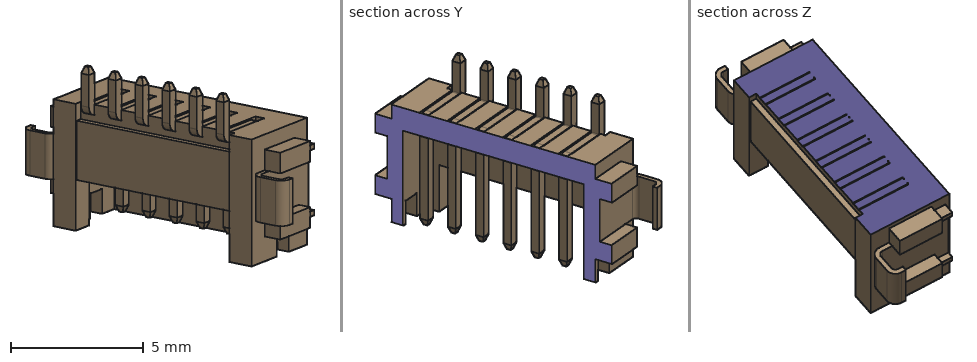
import cadquery as cq
import math


BODY_LENGTH = 9.2
BODY_DEPTH = 3.6
BODY_HEIGHT = 4.99
HALF_BODY = BODY_LENGTH / 2

POST_WIDTH = 1.03
FRONT_WIDTH = BODY_LENGTH - 2 * POST_WIDTH
FRONT_SETBACK = 0.07
LEDGE_SETBACK = 0.33
LEDGE_Z = 4.31
WINDOW_HEIGHT = 1.98

FRONT_WALL_Y = 0.87
BACK_WALL = 0.41
END_WALL = 0.53
CAVITY_DEPTH = 4.01

LUG_REACH = 0.73
LUG_FRONT_Y = 0.84
LUG_BACK_Y = 2.77
LUG_HEIGHT = 0.81
LUG_GAP = 1.79
LUG_BOTTOM_Z = 0.98
LUG_CENTRE_Z = LUG_BOTTOM_Z + LUG_HEIGHT + LUG_GAP / 2

NOTCH_FRONT_Y = 1.64
NOTCH_BACK_Y = 2.4

PIN_COUNT = 6
PIN_PITCH = 1.25
PIN_SIZE = 0.36
PIN_TIP_SIZE = 0.17
PIN_TIP_LENGTH = 0.27
PIN_TOP_Z = 6.5
PIN_BOTTOM_Z = 0.25
PIN_INNER_RADIUS = 0.02
PIN_OUTER_RADIUS = PIN_INNER_RADIUS + PIN_SIZE
PIN_BACK_Y = NOTCH_BACK_Y + PIN_SIZE / 2

SLOT_WIDTH = 0.4
SLOT_DEPTH = 0.41
SLOT_FLOOR_Z = BODY_HEIGHT - SLOT_DEPTH

OVERALL_LENGTH = 12.15
TAB_THICKNESS = 0.21
TAB_INNER_RADIUS = 0.18
TAB_OUTER_RADIUS = TAB_INNER_RADIUS + TAB_THICKNESS
TAB_HOOK_HEIGHT = 0.61
TAB_BACK_Y = 3.4
TAB_HEAD_HEIGHT = 2.82
TAB_FLANGE_REACH = 0.47


def block(x_range, y_range, z_range):
    """Box spanning the given (low, high) ranges."""
    (x0, x1), (y0, y1), (z0, z1) = x_range, y_range, z_range
    return cq.Workplane("XY").box(x1 - x0, y1 - y0, z1 - z0, centered=False).translate((x0, y0, z0))


def centred_block(width, y_range, z_range):
    """Box centred on the YZ plane."""
    return block((-width / 2, width / 2), y_range, z_range)


def make_housing():
    body = centred_block(BODY_LENGTH, (0, BODY_DEPTH), (0, BODY_HEIGHT))
    cavity = centred_block(
        BODY_LENGTH - 2 * END_WALL, (FRONT_WALL_Y, BODY_DEPTH - BACK_WALL), (0, CAVITY_DEPTH)
    )
    window = centred_block(FRONT_WIDTH, (0, FRONT_WALL_Y), (0, WINDOW_HEIGHT))
    setback = centred_block(FRONT_WIDTH, (0, FRONT_SETBACK), (0, BODY_HEIGHT))
    ledge = centred_block(FRONT_WIDTH, (0, LEDGE_SETBACK), (LEDGE_Z, BODY_HEIGHT))
    notches = centred_block(BODY_LENGTH, (NOTCH_FRONT_Y, NOTCH_BACK_Y), (0, LUG_BOTTOM_Z))
    return body.cut(cavity).cut(window).cut(setback).cut(ledge).cut(notches)


def make_slot():
    return centred_block(SLOT_WIDTH, (0, PIN_BACK_Y), (SLOT_FLOOR_Z, BODY_HEIGHT))


def make_pin():
    """Pin centred on X = 0: up at the front, back along the slot, down into the cavity."""
    wire_top_z = SLOT_FLOOR_Z + PIN_SIZE
    leg_front_y = PIN_BACK_Y - PIN_SIZE
    top_shoulder_z = PIN_TOP_Z - PIN_TIP_LENGTH
    bottom_shoulder_z = PIN_BOTTOM_Z + PIN_TIP_LENGTH

    wire = (
        cq.Workplane("YZ")
        .moveTo(0, top_shoulder_z)
        .lineTo(0, SLOT_FLOOR_Z + PIN_OUTER_RADIUS)
        .tangentArcPoint((PIN_OUTER_RADIUS, SLOT_FLOOR_Z), relative=False)
        .lineTo(leg_front_y - PIN_INNER_RADIUS, SLOT_FLOOR_Z)
        .tangentArcPoint((leg_front_y, SLOT_FLOOR_Z - PIN_INNER_RADIUS), relative=False)
        .lineTo(leg_front_y, bottom_shoulder_z)
        .lineTo(PIN_BACK_Y, bottom_shoulder_z)
        .lineTo(PIN_BACK_Y, wire_top_z - PIN_OUTER_RADIUS)
        .tangentArcPoint((PIN_BACK_Y - PIN_OUTER_RADIUS, wire_top_z), relative=False)
        .lineTo(PIN_SIZE + PIN_INNER_RADIUS, wire_top_z)
        .tangentArcPoint((PIN_SIZE, wire_top_z + PIN_INNER_RADIUS), relative=False)
        .lineTo(PIN_SIZE, top_shoulder_z)
        .close()
        .extrude(PIN_SIZE / 2, both=True)
    )

    taper = math.degrees(math.atan((PIN_SIZE - PIN_TIP_SIZE) / 2 / PIN_TIP_LENGTH))
    tip = cq.Workplane("XY").rect(PIN_SIZE, PIN_SIZE).extrude(PIN_TIP_LENGTH, taper=taper)
    top_tip = tip.translate((0, PIN_SIZE / 2, top_shoulder_z))
    bottom_tip = tip.mirror("XY").translate((0, PIN_BACK_Y - PIN_SIZE / 2, bottom_shoulder_z))
    return wire.union(top_tip).union(bottom_tip)


def make_lugs():
    """Pair of lugs on the +X end."""
    x_range = (HALF_BODY, HALF_BODY + LUG_REACH)
    y_range = (LUG_FRONT_Y, LUG_BACK_Y)
    upper_z = LUG_BOTTOM_Z + LUG_HEIGHT + LUG_GAP
    lower = block(x_range, y_range, (LUG_BOTTOM_Z, LUG_BOTTOM_Z + LUG_HEIGHT))
    upper = block(x_range, y_range, (upper_z, upper_z + LUG_HEIGHT))
    return lower.union(upper)


def make_solder_tab():
    """Tab on the +X end: hooked strip between the lugs, with a flanged head behind them."""
    outer_x = OVERALL_LENGTH / 2
    hook_x = outer_x - TAB_THICKNESS
    plate_x = HALF_BODY + TAB_THICKNESS

    strip = (
        cq.Workplane("XY", origin=(0, 0, LUG_CENTRE_Z))
        .moveTo(HALF_BODY, TAB_BACK_Y)
        .lineTo(HALF_BODY, TAB_OUTER_RADIUS)
        .tangentArcPoint((HALF_BODY + TAB_OUTER_RADIUS, 0), relative=False)
        .lineTo(outer_x - TAB_OUTER_RADIUS, 0)
        .tangentArcPoint((outer_x, TAB_OUTER_RADIUS), relative=False)
        .lineTo(outer_x, TAB_HOOK_HEIGHT)
        .lineTo(hook_x, TAB_HOOK_HEIGHT)
        .lineTo(hook_x, TAB_OUTER_RADIUS)
        .tangentArcPoint((hook_x - TAB_INNER_RADIUS, TAB_THICKNESS), relative=False)
        .lineTo(plate_x + TAB_INNER_RADIUS, TAB_THICKNESS)
        .tangentArcPoint((plate_x, TAB_OUTER_RADIUS), relative=False)
        .lineTo(plate_x, TAB_BACK_Y)
        .close()
        .extrude(LUG_GAP / 2, both=True)
    )

    head_y = (LUG_BACK_Y, TAB_BACK_Y)
    head_low_z = LUG_CENTRE_Z - TAB_HEAD_HEIGHT / 2
    head_high_z = LUG_CENTRE_Z + TAB_HEAD_HEIGHT / 2
    flange_x = (HALF_BODY, HALF_BODY + TAB_FLANGE_REACH)
    head = block((HALF_BODY, plate_x), head_y, (head_low_z, head_high_z))
    low_flange = block(flange_x, head_y, (head_low_z, head_low_z + TAB_THICKNESS))
    high_flange = block(flange_x, head_y, (head_high_z - TAB_THICKNESS, head_high_z))
    return strip.union(head).union(low_flange).union(high_flange)


result = make_housing()

slot = make_slot()
pin = make_pin()
for index in range(PIN_COUNT):
    pin_x = (index - (PIN_COUNT - 1) / 2) * PIN_PITCH
    result = result.cut(slot.translate((pin_x, 0, 0)))
    result = result.union(pin.translate((pin_x, 0, 0)))

end_fittings = make_lugs().union(make_solder_tab())
result = result.union(end_fittings).union(end_fittings.mirror("YZ"))